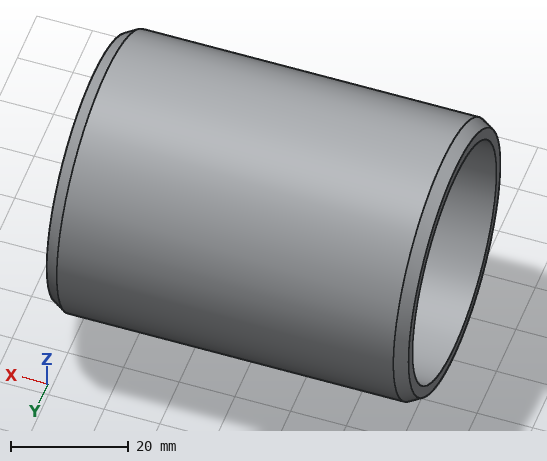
import cadquery as cq

length = 65.0
outer_diameter = 50.0
bore_diameter = 43.2
chamfer_length = 2.3
chamfer_depth = 1.3

half_length = length / 2
outer_radius = outer_diameter / 2
bore_radius = bore_diameter / 2
end_radius = outer_radius - chamfer_depth
shoulder_x = half_length - chamfer_length

wall_section = (
    cq.Workplane("XY")
    .moveTo(-half_length, bore_radius)
    .lineTo(half_length, bore_radius)
    .lineTo(half_length, end_radius)
    .lineTo(shoulder_x, outer_radius)
    .lineTo(-shoulder_x, outer_radius)
    .lineTo(-half_length, end_radius)
    .close()
)
result = wall_section.revolve(360, (0, 0, 0), (1, 0, 0))